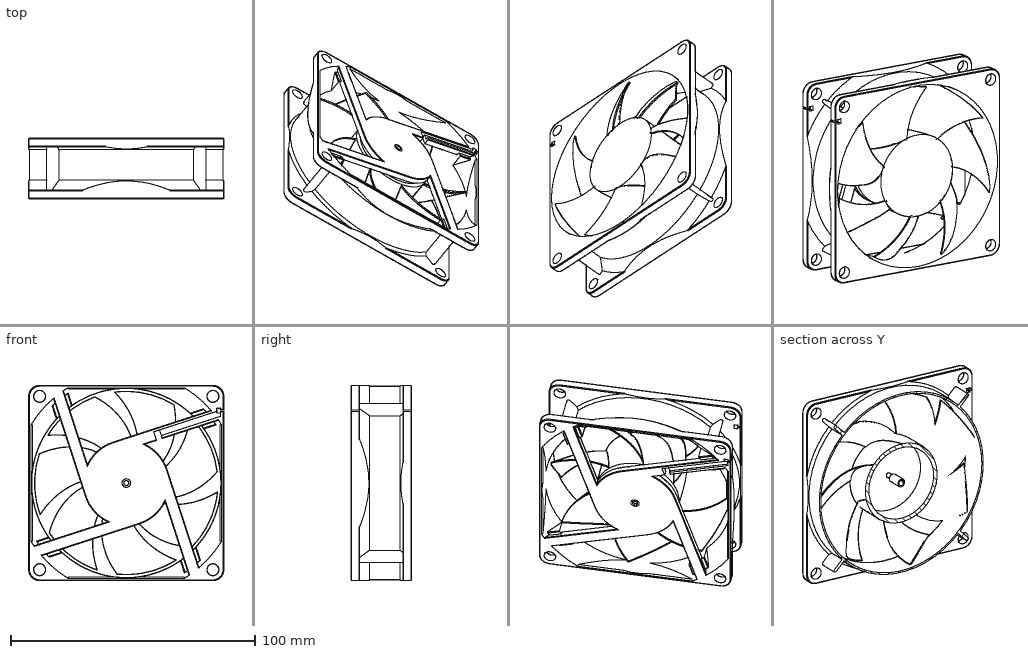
import cadquery as cq
import math


side = 80.0
depth = 25.0
front_y = -depth / 2
rear_y = depth / 2
flange_thickness = 3.6
corner_radius = 4.5
edge_chamfer = 0.3
mount_offset = 35.5
mount_radius = 2.4

throat_radius = 38.8
duct_radius = 39.8
outer_cone_start_y = -4.8
inlet_radius = 45.8
inlet_half_width = 38.5
inlet_lip = 0.6
rear_flare = 1.1

rib_thickness = 1.5
rib_tip_offset = 31.8

plate_radius = 17.6
plate_thickness = 2.5
strut_width = 4.8
strut_length = 45.6
strut_tilt = 18.0
strut_count = 4
strut_chamfer = 0.2
pad_margin = 1.5
pad_setback = 1.4
pad_chamfer = 0.3

channel_width = 2.4
channel_wall = 1.1
channel_depth = 1.0
notch_start = 17.2
notch_length = 2.5
exit_center_x = 37.9
exit_center_z = 29.7
exit_width = 1.6
exit_height = 1.9
slit_height = 0.6

hub_radius = 17.4
hub_front_y = -7.6
hub_rear_y = 11.8
hub_wall = 1.9
blade_count = 7
blade_root_radius = 16.9
blade_tip_radius = 37.6
blade_thickness = 0.6
blade_steps = 8
lead_root_angle = -73.3
lead_tip_angle = -44.3
trail_root_angle = -29.3
trail_tip_angle = -5.5
camber_root_power = 2.5
camber_tip_power = 1.3
lead_root_y = -7.1
lead_tip_y = -7.8
trail_y = 11.2

bush_radius = 1.8
bush_rear_y = 6.4
shaft_radius = 1.0
shaft_setback = 1.0
shaft_seat = 0.6


def layer(y_front, y_rear, sketch):
    """Extrude a sketch in the XZ plane so that it fills y_front to y_rear."""
    plane = cq.Workplane("XZ", origin=(0, y_rear, 0))
    return sketch(plane).extrude(y_rear - y_front)


def disc(radius, y_front, y_rear):
    return layer(y_front, y_rear, lambda plane: plane.circle(radius))


def block(width, height, y_front, y_rear, center=(0, 0)):
    return layer(y_front, y_rear, lambda plane: plane.center(*center).rect(width, height))


def revolved(profile):
    """Revolve a profile of (radius, y) points about the Y axis."""
    return cq.Workplane("XY").polyline(profile).close().revolve(360, (0, 0), (0, 1))


def turned(body, angle):
    """Rotate about the Y axis, counter-clockwise when seen from -Y."""
    return body.rotate((0, 0, 0), (0, -1, 0), angle)


def flange(y_front, y_rear):
    return block(side, side, y_front, y_rear).edges("|Y").fillet(corner_radius)


def duct_outside(start_y):
    """Outer duct surface: cylinder, 45 degree front cone and short rear flare, trimmed by the frame."""
    front_flange_y = front_y + flange_thickness
    rear_flange_y = rear_y - flange_thickness
    cone_radius = duct_radius + outer_cone_start_y - front_flange_y
    profile = [
        (0, start_y),
        (cone_radius, start_y),
        (cone_radius, front_flange_y),
        (duct_radius, outer_cone_start_y),
        (duct_radius, rear_flange_y - rear_flare),
        (duct_radius + rear_flare, rear_flange_y),
        (duct_radius + rear_flare, rear_y - flange_thickness / 2),
        (0, rear_y - flange_thickness / 2),
    ]
    return revolved(profile).intersect(block(side, side, front_y, rear_y))


def duct_inside():
    """Airway: cylindrical throat and a 45 degree inlet cone with flat sides that are chamfered in front."""
    inlet_depth = inlet_radius - throat_radius
    cone = revolved([(0, front_y), (inlet_radius, front_y), (throat_radius, front_y + inlet_depth),
                     (0, front_y + inlet_depth)])
    inlet_width = 2 * inlet_half_width
    sides = block(inlet_width, inlet_width, front_y, rear_y)
    lip_plane = cq.Workplane("XZ", origin=(0, front_y + inlet_lip, 0))
    lip = lip_plane.rect(inlet_width, inlet_width).extrude(inlet_lip, taper=-45)
    inlet = cone.intersect(sides.union(lip))
    return disc(throat_radius, front_y, rear_y).union(inlet)


def ribs():
    """Radial ribs with rounded tips on the four diagonals."""
    length = rib_tip_offset * math.sqrt(2)
    y_front = front_y + flange_thickness
    y_rear = rear_y - flange_thickness
    rib = block(length, rib_thickness, y_front, y_rear, (length / 2, 0))
    tip = layer(y_front, y_rear, lambda plane: plane.center(length, 0).circle(rib_thickness / 2))
    rib = rib.union(tip)
    all_ribs = turned(rib, 45)
    for index in range(1, 4):
        all_ribs = all_ribs.union(turned(rib, 45 + 90 * index))
    return all_ribs


def strut_bar(length, y_front, y_rear, margin=0.0):
    """Bar along +X whose upper edge is tangent to the hub plate, widened by a margin on both sides."""
    center = (length / 2, plate_radius - strut_width / 2)
    return block(length, strut_width + 2 * margin, y_front, y_rear, center)


def spider():
    """Hub plate with the tangent struts."""
    plate_rear_y = front_y + plate_thickness
    plate = disc(plate_radius, front_y, plate_rear_y)
    strut = strut_bar(strut_length, front_y, plate_rear_y)
    for index in range(strut_count):
        plate = plate.union(turned(strut, strut_tilt + 90 * index))
    return plate.faces("<Y").chamfer(strut_chamfer)


def strut_pads():
    """Wider seats behind the strut ends, standing on the inlet cone."""
    pad_front_y = front_y + pad_setback
    pad_rear_y = front_y + inlet_radius - throat_radius
    pad = strut_bar(strut_length, pad_front_y, pad_rear_y, pad_margin)
    pad = pad.faces("<Y").edges("|X").chamfer(pad_chamfer)
    pads = turned(pad, strut_tilt)
    for index in range(1, strut_count):
        pads = pads.union(turned(pad, strut_tilt + 90 * index))
    airway = disc(throat_radius, front_y, rear_y)
    return pads.cut(airway).intersect(duct_outside(front_y))


def cable_channel():
    """Notch through the strut beside the hub plate, then a groove to the exit hole."""
    channel_top = plate_radius - channel_wall
    groove_start = notch_start + notch_length
    notch_height = strut_width
    notch = block(notch_length, notch_height, front_y, front_y + plate_thickness,
                  (notch_start + notch_length / 2, channel_top - notch_height / 2))
    groove = block(strut_length - groove_start, channel_width, front_y, front_y + channel_depth,
                   ((strut_length + groove_start) / 2, channel_top - channel_width / 2))
    exit_side = exit_center_x + exit_width / 2
    groove_limit = block(2 * exit_side, side, front_y, rear_y)
    return turned(notch.union(groove), strut_tilt).intersect(groove_limit)


def cable_exit():
    """Square hole through both flanges with a slit to the +X edge."""
    slit_length = side / 2 - exit_center_x
    hole = block(exit_width, exit_height, front_y, rear_y, (exit_center_x, exit_center_z))
    slit = block(slit_length, slit_height, front_y, rear_y, (side / 2 - slit_length / 2, exit_center_z))
    return hole.union(slit)


def mount_holes():
    pitch = 2 * mount_offset
    return layer(front_y, rear_y, lambda plane: plane.rect(pitch, pitch, forConstruction=True)
                 .vertices().circle(mount_radius))


def make_housing():
    front_flange = flange(front_y, front_y + flange_thickness)
    front_flange = front_flange.faces("<Y or >Y").chamfer(edge_chamfer)
    rear_flange = flange(rear_y - flange_thickness, rear_y)
    rear_flange = rear_flange.faces("<Y or >Y").chamfer(edge_chamfer)
    frame = front_flange.union(rear_flange).union(duct_outside(front_y + edge_chamfer)).union(ribs())
    frame = frame.cut(duct_inside()).union(strut_pads()).union(spider())
    frame = frame.cut(mount_holes()).cut(cable_channel()).cut(cable_exit())
    return frame.cut(disc(bush_radius, front_y, rear_y))


def blade_point(span, chord):
    """Point on a blade face: span runs from root to tip, chord from leading to trailing edge, both 0 to 1.

    The face is steepest at the leading edge and levels out at the trailing edge.
    """
    lead_angle = lead_root_angle + span * (lead_tip_angle - lead_root_angle)
    trail_angle = trail_root_angle + span * (trail_tip_angle - trail_root_angle)
    lead_y = lead_root_y + span * (lead_tip_y - lead_root_y)
    radius = blade_root_radius + span * (blade_tip_radius - blade_root_radius)
    angle = math.radians(lead_angle + chord * (trail_angle - lead_angle))
    camber_power = camber_root_power + span * (camber_tip_power - camber_root_power)
    camber = 1 - (1 - chord) ** camber_power
    y = lead_y + camber * (trail_y - lead_y)
    return cq.Vector(radius * math.cos(angle), y, radius * math.sin(angle))


def make_blade():
    """Twisted blade: a spline face given its thickness along the axis."""
    steps = [index / blade_steps for index in range(blade_steps + 1)]
    grid = [[blade_point(span, chord) for chord in steps] for span in steps]
    face = cq.Face.makeSplineApprox(grid, tol=1e-3)
    return cq.Workplane(cq.Solid.extrudeLinear(face, cq.Vector(0, blade_thickness, 0)))


def make_rotor():
    """Cup-shaped hub, open to the front, with its blades."""
    cup_floor_y = hub_rear_y - hub_wall
    hub = disc(hub_radius, hub_front_y, hub_rear_y)
    hub = hub.cut(disc(hub_radius - hub_wall, hub_front_y, cup_floor_y))
    hub = hub.cut(disc(shaft_radius, cup_floor_y, cup_floor_y + shaft_seat))
    blade = make_blade()
    for index in range(blade_count):
        hub = hub.union(turned(blade, index * 360 / blade_count))
    return hub


def make_bush():
    bush = disc(bush_radius, front_y, bush_rear_y)
    return bush.cut(disc(shaft_radius, front_y, bush_rear_y))


def make_shaft():
    return disc(shaft_radius, front_y + shaft_setback, hub_rear_y - hub_wall + shaft_seat)


housing = make_housing()
rotor = make_rotor()
bush = make_bush()
shaft = make_shaft()

result = cq.Compound.makeCompound([housing.val(), rotor.val(), bush.val(), shaft.val()])